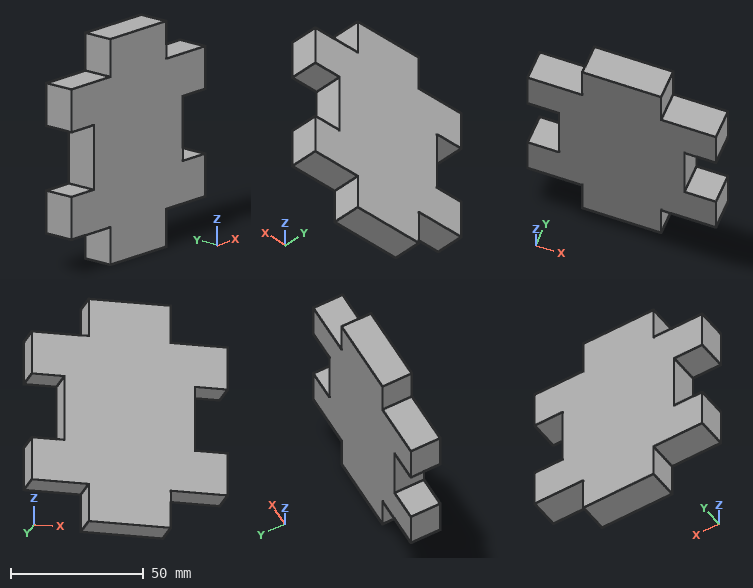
import cadquery as cq

height = 88.9
width = 76.2
thickness = 12.7

end_tab_width = 31.9
end_tab_height = 14.85
side_notch_depth = 12.7
side_notch_height = 25.4

body = cq.Workplane("XY").box(width, thickness, height - 2 * end_tab_height)

end_tabs = cq.Workplane("XY").box(end_tab_width, thickness, height)

notch_offset = (width - side_notch_depth) / 2
notches = (
    cq.Workplane("XZ")
    .pushPoints([(-notch_offset, 0), (notch_offset, 0)])
    .rect(side_notch_depth, side_notch_height)
    .extrude(thickness / 2, both=True)
)

result = body.union(end_tabs).cut(notches)